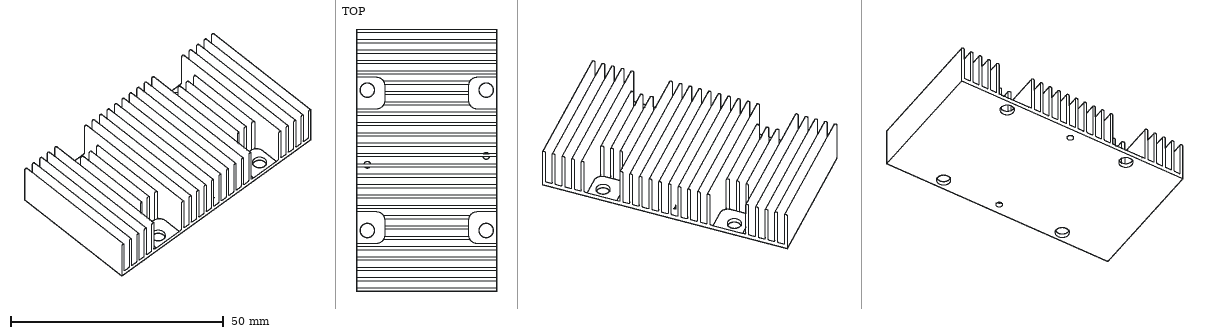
import cadquery as cq

width = 32.95
length = 61.5
height = 11.0
base_thickness = 1.2
fin_count = 26
fin_half_thickness = 0.375
fin_thickness = 2 * fin_half_thickness
fin_pitch = (length - fin_thickness) / (fin_count - 1)
tip_radius = 0.35
root_radius = 0.25

pocket_depth_x = 6.65
pocket_width_y = 7.45
pocket_center_pitches = 6.5
pocket_center_y = pocket_center_pitches * fin_pitch
pocket_corner_radius = 1.95
pocket_floor = 1.15

mount_x = 13.95
mount_y = 16.5
mount_diameter = 3.3

pin_y = 1.05
pin_diameter = 1.55
pin_depth = base_thickness + root_radius


def make_channel(center_y):
    """Gap between two neighbouring fins, with rounded floor corners."""
    gap = fin_pitch - fin_thickness
    depth = height - base_thickness
    return (
        cq.Workplane("XY")
        .box(width, gap, depth, centered=(True, True, False))
        .edges("|X and <Z")
        .fillet(root_radius)
        .translate((0, center_y, base_thickness))
    )


def make_finned_plate():
    """Block with every channel cut and every fin tip rounded."""
    plate = cq.Workplane("XY").box(width, length, height, centered=(True, True, False))
    for index in range(fin_count - 1):
        center_y = (index + 0.5) * fin_pitch + fin_half_thickness - length / 2
        plate = plate.cut(make_channel(center_y))
    return plate.edges("|X and >Z").fillet(tip_radius)


def make_pocket(side_x, side_y):
    """Pocket open at the side and top, rounded at its two inner corners."""
    inner_edges = "|Z and <X" if side_x > 0 else "|Z and >X"
    center_x = side_x * (width - pocket_depth_x) / 2
    center_y = side_y * pocket_center_y
    return (
        cq.Workplane("XY")
        .box(pocket_depth_x, pocket_width_y, height, centered=(True, True, False))
        .edges(inner_edges)
        .fillet(pocket_corner_radius)
        .translate((center_x, center_y, pocket_floor))
    )


def make_hole(x, y, diameter, depth):
    """Vertical drill starting at the underside."""
    return cq.Workplane("XY").center(x, y).circle(diameter / 2).extrude(depth)


result = make_finned_plate()
for side_x in (-1, 1):
    for side_y in (-1, 1):
        result = result.cut(make_pocket(side_x, side_y))
        result = result.cut(make_hole(side_x * mount_x, side_y * mount_y, mount_diameter, height))
    result = result.cut(make_hole(side_x * mount_x, side_x * pin_y, pin_diameter, pin_depth))